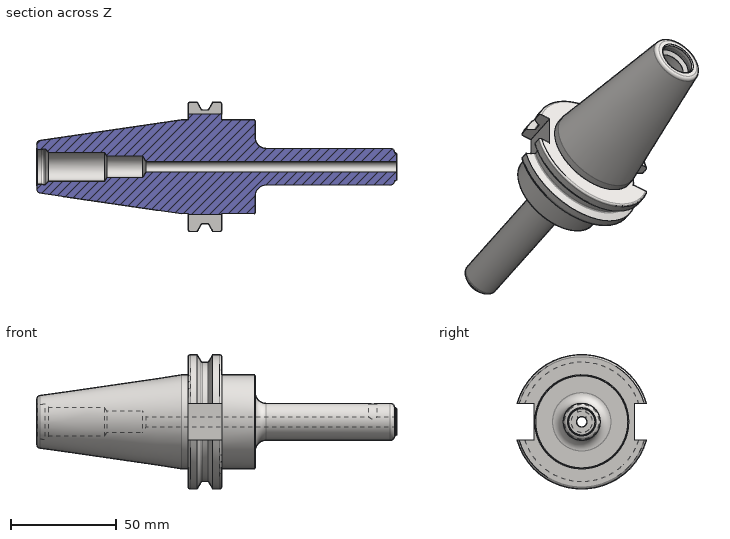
import cadquery as cq
import math

gauge_line = 68.25
projection = 101.6
overall_length = gauge_line + projection
gauge_to_flange = 3.18
flange_start = gauge_line + gauge_to_flange
flange_width = 15.88
flange_end = flange_start + flange_width
gauge_to_nose_end = 34.925
nose_end = gauge_line + gauge_to_nose_end

gauge_diameter = 44.45
taper_ratio = 7 / 24
small_end_radius = (gauge_diameter - gauge_line * taper_ratio) / 2
small_end_fillet = 1.8

flange_diameter = 63.5
flange_edge_fillet = 1.0
groove_center = flange_start + flange_width / 2
groove_floor_diameter = 56.4
groove_floor_width = 3.2
groove_wall_angle = 30
groove_floor_fillet = 0.6
slot_width = 17.14
slot_floor_front = 22.6
slot_floor_back = 25.0

nose_chamfer = 0.5
shank_diameter = 17.53
shank_root_fillet = 5.0
tip_fillet = 2.1
tip_boss_length = 1.0
tip_boss_chamfer = 0.5

mouth_diameter = 17.53
mouth_chamfer_length = 0.45
pilot_diameter = 16.3
pilot_end = 2.2
undercut_diameter = 16.8
undercut_start = 3.2
undercut_end = 4.0
thread_entry_half_angle = 45
thread_bore_diameter = 13.49
thread_bore_depth = 32.0
step_bore_diameter = 10.0
step_bore_depth = 50.0
coolant_diameter = 4.76
drill_point_half_angle = 59

cross_hole_diameter = 3.96
cross_hole_mouth_diameter = 4.76
cross_hole_x = 158.5


def cone_length(large_diameter, small_diameter, half_angle):
    """Axial length of a cone between two diameters."""
    return (large_diameter - small_diameter) / 2 / math.tan(math.radians(half_angle))


def revolve_about_x(outline):
    return outline.close().revolve(360, (0, 0, 0), (1, 0, 0))


def make_taper():
    outline = (
        cq.Workplane("XY")
        .lineTo(0, small_end_radius)
        .lineTo(gauge_line, gauge_diameter / 2)
        .lineTo(flange_start, gauge_diameter / 2)
        .lineTo(flange_start, 0)
    )
    return revolve_about_x(outline).faces("<X").edges().fillet(small_end_fillet)


def make_flange():
    radius = flange_diameter / 2
    blank = (
        cq.Workplane("YZ", origin=(flange_start, 0, 0))
        .circle(radius)
        .extrude(flange_width)
        .edges()
        .fillet(flange_edge_fillet)
    )
    return blank.cut(make_gripper_groove()).cut(make_drive_slots())


def make_gripper_groove():
    floor_radius = groove_floor_diameter / 2
    rim_radius = flange_diameter / 2
    half_floor = groove_floor_width / 2
    half_rim = half_floor + (rim_radius - floor_radius) * math.tan(math.radians(groove_wall_angle))
    outline = (
        cq.Workplane("XY")
        .moveTo(groove_center - half_rim, rim_radius)
        .lineTo(groove_center - half_floor, floor_radius)
        .lineTo(groove_center + half_floor, floor_radius)
        .lineTo(groove_center + half_rim, rim_radius)
    )
    floor_edges = cq.selectors.RadiusNthSelector(0)
    return revolve_about_x(outline).edges("%CIRCLE").edges(floor_edges).fillet(groove_floor_fillet)


def make_drive_slots():
    slot = cq.Workplane("XY").box(
        flange_width, flange_diameter, slot_width, centered=(False, True, True)
    )
    half_length = flange_diameter / 2
    front = slot.translate((flange_start, -slot_floor_front - half_length, 0))
    back = slot.translate((flange_start, slot_floor_back + half_length, 0))
    return front.union(back)


def make_nose():
    return (
        cq.Workplane("YZ", origin=(flange_end, 0, 0))
        .circle(gauge_diameter / 2)
        .extrude(nose_end - flange_end)
        .faces(">X")
        .edges()
        .chamfer(nose_chamfer)
    )


def make_shank():
    radius = shank_diameter / 2
    boss_start = overall_length - tip_boss_length
    boss_radius = radius - tip_fillet
    outline = (
        cq.Workplane("XY")
        .moveTo(nose_end, 0)
        .lineTo(nose_end, radius + shank_root_fillet)
        .radiusArc((nose_end + shank_root_fillet, radius), -shank_root_fillet)
        .lineTo(boss_start - tip_fillet, radius)
        .radiusArc((boss_start, boss_radius), tip_fillet)
        .lineTo(overall_length - tip_boss_chamfer, boss_radius)
        .lineTo(overall_length, boss_radius - tip_boss_chamfer)
        .lineTo(overall_length, 0)
    )
    return revolve_about_x(outline)


def make_bore():
    thread_cone = cone_length(thread_bore_diameter, step_bore_diameter, drill_point_half_angle)
    step_cone = cone_length(step_bore_diameter, coolant_diameter, drill_point_half_angle)
    entry_cone = cone_length(undercut_diameter, thread_bore_diameter, thread_entry_half_angle)
    outline = (
        cq.Workplane("XY")
        .lineTo(0, mouth_diameter / 2)
        .lineTo(mouth_chamfer_length, pilot_diameter / 2)
        .lineTo(pilot_end, pilot_diameter / 2)
        .lineTo(undercut_start, undercut_diameter / 2)
        .lineTo(undercut_end, undercut_diameter / 2)
        .lineTo(undercut_end + entry_cone, thread_bore_diameter / 2)
        .lineTo(thread_bore_depth, thread_bore_diameter / 2)
        .lineTo(thread_bore_depth + thread_cone, step_bore_diameter / 2)
        .lineTo(step_bore_depth, step_bore_diameter / 2)
        .lineTo(step_bore_depth + step_cone, coolant_diameter / 2)
        .lineTo(overall_length, coolant_diameter / 2)
        .lineTo(overall_length, 0)
    )
    return revolve_about_x(outline)


def make_cross_hole():
    chamfer = (cross_hole_mouth_diameter - cross_hole_diameter) / 2
    surface = shank_diameter / 2
    hole_radius = cross_hole_diameter / 2
    mouth_radius = cross_hole_mouth_diameter / 2
    outline = (
        cq.Workplane("XZ")
        .lineTo(hole_radius, 0)
        .lineTo(hole_radius, surface - chamfer)
        .lineTo(mouth_radius, surface)
        .lineTo(mouth_radius, shank_diameter)
        .lineTo(0, shank_diameter)
    )
    hole = outline.close().revolve(360, (0, 0, 0), (0, 1, 0))
    return hole.translate((cross_hole_x, 0, 0))


body = make_taper().union(make_flange()).union(make_nose()).union(make_shank())
result = body.cut(make_bore()).cut(make_cross_hole())